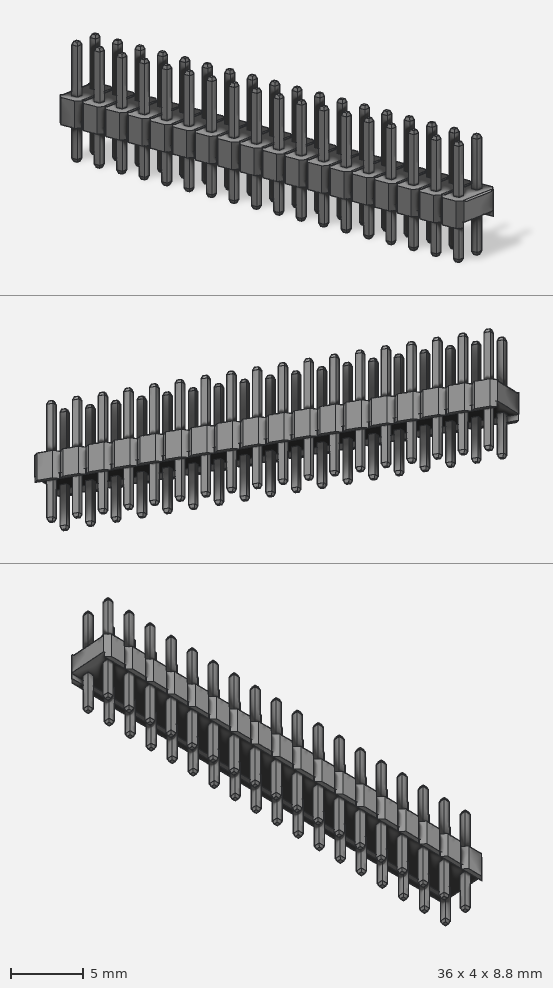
import cadquery as cq

body_length = 36.0
columns = 18
rows = 2
pitch = body_length / columns
body_width = rows * pitch
body_height = pitch

corner_along = 0.4
corner_depth = 0.4
channel_depth = 0.45
channel_wall = 0.35
groove_width = 0.2
groove_depth = 0.1
groove_length = 3.02
groove_end_run = 0.1

pin_side = 0.5
pin_length = 8.8
pin_below_body = 2.8
tip_inset = 0.1
tip_height = 0.25


def box_between(x_size, y_size, z_bottom, z_top):
    """Box centred on the Z axis, spanning the two given heights."""
    return cq.Workplane("XY", origin=(0, 0, z_bottom)).rect(x_size, y_size).extrude(z_top - z_bottom)


def make_cell():
    """One housing segment: a block with its four vertical corners cut off."""
    half_x = pitch / 2
    half_y = body_width / 2
    flat_x = half_x - corner_along
    flat_y = half_y - corner_depth
    outline = [
        (-flat_x, -half_y),
        (flat_x, -half_y),
        (half_x, -flat_y),
        (half_x, flat_y),
        (flat_x, half_y),
        (-flat_x, half_y),
        (-half_x, flat_y),
        (-half_x, -flat_y),
    ]
    return cq.Workplane("XY").polyline(outline).close().extrude(body_height)


def make_pin():
    """Square pin with a tapered tip at each end."""
    bottom = -pin_below_body
    top = bottom + pin_length
    shaft = box_between(pin_side, pin_side, bottom, top)
    return shaft.faces("<Z or >Z").chamfer(tip_height, tip_inset)


def make_groove():
    """Cutter shaped like an upside-down hipped roof: a V along Y with sloping ends."""
    half_width = groove_width / 2
    section = [(-half_width, body_height), (half_width, body_height), (0, body_height - groove_depth)]
    side_view = [
        (-groove_length / 2, body_height),
        (groove_length / 2, body_height),
        (groove_length / 2 - groove_end_run, body_height - groove_depth),
        (groove_end_run - groove_length / 2, body_height - groove_depth),
    ]
    vee = cq.Workplane("XZ").polyline(section).close().extrude(groove_length / 2, both=True)
    ends = cq.Workplane("YZ").polyline(side_view).close().extrude(half_width, both=True)
    return vee.intersect(ends)


def copies(shape, positions):
    """The same shape repeated at every (x, y) position."""
    return cq.Workplane("XY").pushPoints(positions).eachpoint(lambda place: shape.val().moved(place))


column_centres = [(i - (columns - 1) / 2) * pitch for i in range(columns)]
row_centres = [(j - (rows - 1) / 2) * pitch for j in range(rows)]
cell_borders = [(i - columns / 2) * pitch for i in range(columns + 1)]

housing = copies(make_cell(), [(x, 0) for x in column_centres]).combine()

channel = box_between(body_length, body_width - 2 * channel_wall, 0, channel_depth)
housing = housing.cut(channel)

housing = housing.cut(copies(make_groove(), [(x, 0) for x in cell_borders]))

pins = copies(make_pin(), [(x, y) for x in column_centres for y in row_centres])
result = housing.union(pins)